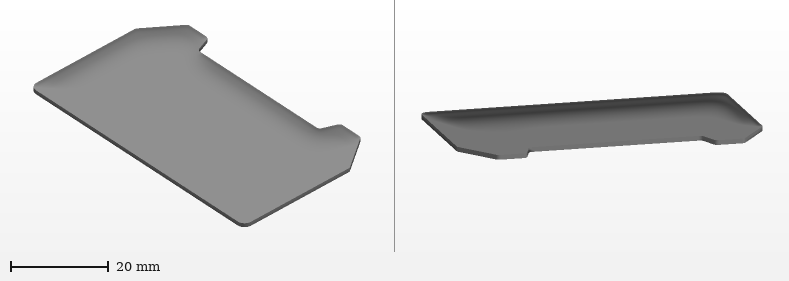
import cadquery as cq
import math

width = 64.99
height = 38.27
thickness = 1.0

shoulder_drop = 8.85
shoulder_run = 6.3

notch_floor_width = 36.7
notch_depth = 4.5
notch_wall_angle = 69.0

bottom_radius = 1.9
upper_radius = 1.0

half_width = width / 2
top_y = height / 2
bottom_y = -top_y
shoulder_y = top_y - shoulder_drop
shoulder_x = half_width - shoulder_run
notch_floor_y = top_y - notch_depth
notch_floor_x = notch_floor_width / 2
notch_mouth_x = notch_floor_x + notch_depth / math.tan(math.radians(notch_wall_angle))


def make_plate():
    """Sharp-cornered plate, symmetric about the YZ plane."""
    right_side = [
        (half_width, bottom_y),
        (half_width, shoulder_y),
        (shoulder_x, top_y),
        (notch_mouth_x, top_y),
        (notch_floor_x, notch_floor_y),
    ]
    left_side = [(-x, y) for x, y in reversed(right_side)]
    outline = cq.Workplane("XY").polyline(right_side + left_side).close()
    return outline.extrude(thickness)


def round_corners(plate):
    """Round the two bottom corners, then the shoulder and notch corners."""
    plate = plate.edges("|Z and <Y").fillet(bottom_radius)
    upper_half = cq.selectors.BoxSelector(
        (-width, 0, -thickness),
        (width, height, 2 * thickness),
    )
    return plate.edges(upper_half).edges("|Z").fillet(upper_radius)


result = round_corners(make_plate())